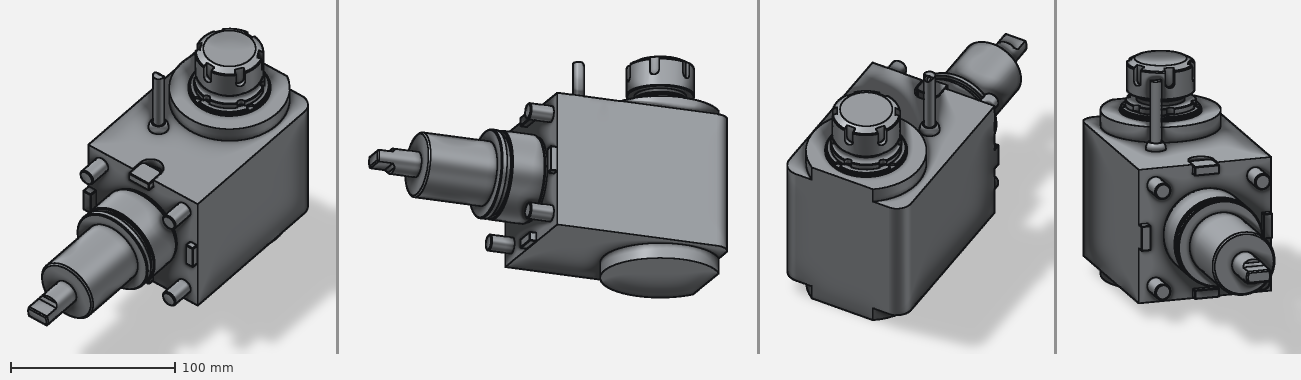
import cadquery as cq
import math


body_side = 85.0
half_side = body_side / 2
total_length = 218.7
total_height = 138.2
tang_tip = -103.9
body_back = total_length + tang_tip
spindle_y = 84.9
back_round_radius = 10.0
boss_diameter = 73.5
boss_top = half_side + 9.8
boss_bottom = -half_side - 9.6

flange_notch_bottom = 53.4
flange_top = 55.0
ring_bottom = 55.5
ring_top = 59.3
neck_step = 62.0
nut_bottom = 64.7
nut_edge = 82.0
nut_cone_base = 82.9
nut_top = 85.3
flange_base_diameter = 50.3
flange_diameter = 49.0
ring_diameter = 43.3
ring_neck_diameter = 40.0
neck_diameter = 29.5
neck_collar_diameter = 32.0
nut_diameter = 41.5
nut_cone_diameter = 40.7
nut_face_diameter = 32.0
nut_chamfer = 0.7
flange_chamfer = 0.7
ring_chamfer = 0.5

nut_slot_count = 6
nut_slot_turn = 27.7
nut_slot_width = 6.0
nut_slot_bottom = 72.2
nut_slot_floor_radius = 17.7
spanner_notch_diameter = 4.8
flange_notch_count = 4
flange_notch_turn = 72
flange_notch_radius = 23.6

pin_x = -18.5
pin_y = 38.7
pin_diameter = 7.0
pin_top = boss_bottom + total_height
pin_bevel = 2.5
nozzle_diameter = 4.0
nozzle_depth = 4.4
ball_diameter = 12.5
ball_cap_height = 4.5

relief_end = 2.5
relief_chamfer = 1.0
groove_start = 23.6
groove_end = 27.0
collar_end = 30.5
shank_end = 75.2
relief_diameter = 53.0
collar_diameter = 55.0
groove_diameter = 50.3
shank_diameter = 40.0
shaft_diameter = 15.7
collar_chamfer = 0.7
shank_chamfer = 1.0
tang_start = 91.9
tang_end = -tang_tip
tang_thickness = 7.7
tang_shoulder_height = 5.7
tang_chamfer = 0.9

screw_diameter = 10.0
screw_pitch = 64.0
screw_length = 15.3
screw_chamfer = 0.7

key_width = 15.7
pocket_depth = 6.1
key_inset = 0.5
key_depth = 9.5
key_projection = 4.2
left_key_projection = 5.2
key_chamfer = 0.5
key_corner_chamfer = 2.0
pocket_center_y = 7.5


def on_spindle(radius, degrees):
    """Point at a polar position around the spindle axis."""
    angle = math.radians(degrees)
    return radius * math.cos(angle), spindle_y + radius * math.sin(angle)


def disc(diameter, bottom, top):
    """Upright cylinder on the spindle axis."""
    return cq.Workplane("XY", origin=(0, spindle_y, bottom)).circle(diameter / 2).extrude(top - bottom)


def make_housing():
    housing = (
        cq.Workplane("XY")
        .box(body_side, body_back, body_side, centered=(True, False, True))
        .edges("|Z and >Y")
        .fillet(back_round_radius)
    )
    bosses = disc(boss_diameter, boss_bottom, boss_top)
    back_limit = cq.Workplane("XY").box(
        body_side, body_back, 2 * body_side, centered=(True, False, True)
    )
    return housing.union(bosses.intersect(back_limit))


def make_spindle():
    profile = [
        (0, boss_top),
        (flange_base_diameter / 2, boss_top),
        (flange_base_diameter / 2, flange_notch_bottom - flange_chamfer),
        (flange_diameter / 2, flange_notch_bottom),
        (flange_diameter / 2, flange_top - flange_chamfer),
        (flange_diameter / 2 - flange_chamfer, flange_top),
        (ring_neck_diameter / 2, flange_top),
        (ring_neck_diameter / 2, ring_bottom),
        (ring_diameter / 2, ring_bottom),
        (ring_diameter / 2, ring_top - ring_chamfer),
        (ring_diameter / 2 - ring_chamfer, ring_top),
        (neck_diameter / 2, ring_top),
        (neck_diameter / 2, neck_step),
        (neck_collar_diameter / 2, neck_step + nut_chamfer),
        (neck_collar_diameter / 2, nut_bottom),
        (nut_diameter / 2 - nut_chamfer, nut_bottom),
        (nut_diameter / 2, nut_bottom + nut_chamfer),
        (nut_diameter / 2, nut_edge),
        (nut_cone_diameter / 2, nut_cone_base),
        (nut_face_diameter / 2, nut_top),
        (0, nut_top),
    ]
    spindle = cq.Workplane("XZ").polyline(profile).close().revolve(360, (0, 0, 0), (0, 1, 0))
    spindle = spindle.translate((0, spindle_y, 0))

    slot_arc_z = nut_slot_bottom + nut_slot_width / 2
    slot_depth = nut_diameter / 2
    for index in range(nut_slot_count):
        angle = nut_slot_turn + index * 360 / nut_slot_count
        slot = (
            cq.Workplane("YZ", origin=(nut_slot_floor_radius, 0, slot_arc_z))
            .circle(nut_slot_width / 2)
            .extrude(slot_depth)
            .union(
                cq.Workplane("XY", origin=(nut_slot_floor_radius, 0, slot_arc_z))
                .box(slot_depth, nut_slot_width, nut_top - slot_arc_z, centered=(False, True, False))
            )
            .rotate((0, 0, 0), (0, 0, 1), angle)
            .translate((0, spindle_y, 0))
        )
        spindle = spindle.cut(slot)
        spindle = spindle.cut(make_notch(ring_diameter / 2, angle, ring_bottom, ring_top))

    for index in range(flange_notch_count):
        angle = flange_notch_turn + index * 360 / flange_notch_count
        spindle = spindle.cut(make_notch(flange_notch_radius, angle, flange_notch_bottom, flange_top))
    return spindle


def make_notch(radius, degrees, bottom, top):
    """Round spanner notch, parallel to the spindle axis."""
    return (
        cq.Workplane("XY", origin=(0, 0, bottom))
        .center(*on_spindle(radius, degrees))
        .circle(spanner_notch_diameter / 2)
        .extrude(top - bottom)
    )


def make_pin():
    pin_base = cq.Workplane("XY", origin=(pin_x, pin_y, half_side))
    pin = pin_base.circle(pin_diameter / 2).extrude(pin_top - half_side)
    pin_back = pin_y + pin_diameter / 2
    bevel = (
        cq.Workplane("YZ", origin=(pin_x, 0, 0))
        .polyline([(pin_back, pin_top), (pin_back - pin_bevel, pin_top), (pin_back, pin_top - pin_bevel)])
        .close()
        .extrude(pin_diameter / 2, both=True)
    )
    nozzle_axis = cq.Plane(
        origin=(pin_x, pin_back - pin_bevel / 2, pin_top - pin_bevel / 2),
        xDir=(1, 0, 0),
        normal=(0, -1, -1),
    )
    nozzle = cq.Workplane(nozzle_axis).circle(nozzle_diameter / 2).extrude(nozzle_depth)
    ball = pin_base.sphere(ball_diameter / 2)
    cap = pin_base.circle(ball_diameter / 2).extrude(ball_cap_height)
    return pin.cut(bevel).cut(nozzle).union(ball.intersect(cap))


def make_shaft():
    collar_radius = collar_diameter / 2
    shank_radius = shank_diameter / 2
    shaft_radius = shaft_diameter / 2
    profile = [
        (0, 0),
        (relief_diameter / 2, 0),
        (relief_diameter / 2, -relief_end + relief_chamfer),
        (collar_radius, -relief_end),
        (collar_radius, -groove_start + collar_chamfer),
        (collar_radius - collar_chamfer, -groove_start),
        (groove_diameter / 2, -groove_start),
        (groove_diameter / 2, -groove_end),
        (collar_radius, -groove_end),
        (collar_radius, -collar_end + collar_chamfer),
        (collar_radius - collar_chamfer, -collar_end),
        (shank_radius, -collar_end),
        (shank_radius, -shank_end + shank_chamfer),
        (shank_radius - shank_chamfer, -shank_end),
        (shaft_radius, -shank_end),
        (shaft_radius, -tang_end + tang_chamfer),
        (shaft_radius - tang_chamfer, -tang_end),
        (0, -tang_end),
    ]
    shaft = cq.Workplane("XY").polyline(profile).close().revolve(360, (0, 0, 0), (0, 1, 0))

    half_tang = tang_thickness / 2
    slope = tang_shoulder_height - half_tang
    flat = (
        cq.Workplane("YZ")
        .polyline([
            (-tang_start, shaft_radius),
            (-tang_start, tang_shoulder_height),
            (-tang_start - slope, half_tang),
            (-tang_end + tang_chamfer, half_tang),
            (-tang_end, half_tang - tang_chamfer),
            (-tang_end, shaft_radius),
        ])
        .close()
        .extrude(shaft_radius, both=True)
    )
    return shaft.cut(flat).cut(flat.mirror("XY"))


def make_screws():
    return (
        cq.Workplane("XZ")
        .rect(screw_pitch, screw_pitch, forConstruction=True)
        .vertices()
        .circle(screw_diameter / 2)
        .extrude(screw_length)
        .faces("<Y")
        .chamfer(screw_chamfer)
    )


def make_key(projection, inset):
    """Key at the top edge of the front face, set below the top of the housing by the inset."""
    height = pocket_depth - inset
    return (
        cq.Workplane("XY", origin=(0, -projection, half_side - pocket_depth))
        .box(key_width, projection + key_depth, height, centered=(True, False, False))
        .edges("|Z and >Y")
        .chamfer(key_corner_chamfer)
        .edges()
        .chamfer(key_chamfer)
    )


def make_key_pocket():
    """Round-ended pocket around the top key, open to the front."""
    pocket = cq.Workplane("XY", origin=(0, 0, half_side - pocket_depth))
    round_end = pocket.center(0, pocket_center_y).circle(key_width / 2).extrude(pocket_depth)
    throat = pocket.box(key_width, pocket_center_y, pocket_depth, centered=(True, False, False))
    return round_end.union(throat)


result = make_housing().cut(make_key_pocket())
keys = [(key_projection, key_inset)] * 3 + [(left_key_projection, 0)]
for quarter, (projection, inset) in enumerate(keys):
    key = make_key(projection, inset).rotate((0, 0, 0), (0, 1, 0), 90 * quarter)
    result = result.union(key)
for piece in [make_spindle(), make_pin(), make_shaft(), make_screws()]:
    result = result.union(piece)